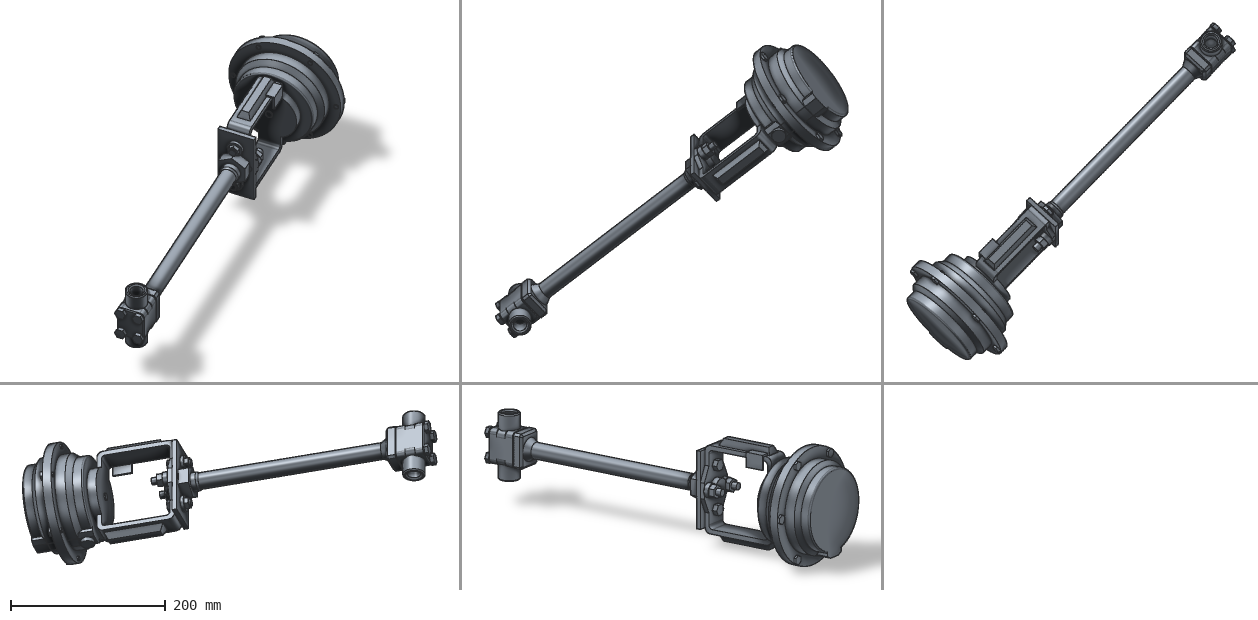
import cadquery as cq
import math

LENGTH = 538.5

HOUSING_END = 82.5
CAP_RADIUS = 56.5
CAP_ROUND = 2.0
DRUM_RADIUS = 63.0
REAR_CONE = (13.5, 19.5)
FRONT_CONE = (60.5, 68.5)
FLANGE_RADIUS = 159.0 / 2
FLANGE_REAR = 34.5
FLANGE_FRONT = 46.5
FLANGE_BOLTS = 6
FLANGE_BOLT_CIRCLE = 73.0
FLANGE_BOLT_FLATS = 11.5
FLANGE_BOLT_HEAD = 3.0
FLANGE_BOLT_SHANK = 6.5
FLANGE_BOLT_STICKOUT = 1.5
NECK_RADIUS = 39.0
NECK_BUTTON_RADIUS = 5.0
NECK_BUTTON_HEIGHT = 1.5

PAD_HALF_WIDTH = 15.5
PAD_KEEL_HALF_WIDTH = 8.5
PAD_SHOULDER = 58.5
PAD_BOTTOM = 62.5
PAD_REAR_END = 34.5
PAD_FRONT_START = 46.5
PLUG_STATION = 71.0
PLUG_RADIUS = 9.0
PLUG_BOTTOM = 68.0

BRACKET_REAR = 88.5
BRACKET_FRONT = 194.0
BRACKET_HALF_HEIGHT = 60.0
BRACKET_HALF_WIDTH = 15.5
SHEET = 6.5
BEND_RADIUS = 8.5
BEND_INNER_RADIUS = 5.5
WEB_HALF_WIDTH = 26.0
WEB_FLAT_HALF = 11.0
WEB_TAPER_END = 32.0

RIB_BASE = (96.0, 176.0)
RIB_TOP = (100.0, 171.0)
RIB_TOP_HEIGHT = 69.5
RIB_BASE_WIDTH = 19.0
RIB_TOP_WIDTH = 11.0

CLIP_STATIONS = (99.0, 125.0)
CLIP_OUTER_X = 21.0
CLIP_INNER_X = 7.5
CLIP_TOP = 62.5
CLIP_BOTTOM = 42.0
CLIP_SIDE_THICKNESS = 2.5

PLATE_WIDTH = 51.0
PLATE_HEIGHT = 105.5
PLATE_FRONT = 200.0
STUD_X = 18.0
STUD_RADIUS = 5.0
STUD_REAR = 164.0
STUD_STICKOUT = 0.5
STUD_NUT_FLATS = 16.0
STUD_NUT = (172.5, 180.5)
STUD_WASHER_RADIUS = 9.5
PLATE_BOLT_Z = 30.0
PLATE_BOLT_FLATS = 14.0
PLATE_BOLT_HEAD = 7.0
WASHER_RADIUS = 11.0
WASHER_THICKNESS = 4.5
NUT_FRONT = 209.5
PLATE_BOLT_RADIUS = 5.0
PLATE_BOLT_FRONT = 211.5

COLLAR_RADIUS = 25.5 / 2
COLLAR_REAR = 179.0
FITTING_FLATS = 38.0
FITTING_FRONT = 214.0
COLLAR_FRONT = 221.0
COLLAR_TAPER_END = 224.0
TUBE_RADIUS = 22.0 / 2
TUBE_FRONT = 471.5
TUBE_CONE_RADIUS = 18.0

VALVE_FLANGE_REAR = 481.0
VALVE_STEP = 484.0
VALVE_BODY_REAR = 493.5
VALVE_FRONT = 533.0
VALVE_WIDTH = 38.0
VALVE_HEIGHT = 48.0
VALVE_EDGE_BEVEL = 3.0
VALVE_EDGE_ROUND = 6.5
VALVE_BODY_CHAMFER = 1.5
WAIST = (507.0, 520.5)
WAIST_DEPTH = 1.0
PORT_STATION = 513.5
PORT_RADIUS = 14.5
PORT_HALF_LENGTH = 45.0
PORT_CHAMFER = 1.5
PORT_BORE_RADIUS = 8.5
PORT_BORE_LEAD_IN = 2.0
PORT_BORE_DEPTH = 21.5
VALVE_BOLT_X = 12.5
VALVE_BOLT_Z = 17.0
VALVE_BOLT_FLATS = 13.5


def facing_front(station, x=0, z=0):
    """Sketch plane at a station: local X is +X, local Y is +Z, extrusion goes to -Y."""
    return cq.Workplane("XZ", origin=(x, -station, z))


def disc(radius, start, end, x=0, z=0):
    return facing_front(start, x, z).circle(radius).extrude(end - start)


def cone(start_radius, end_radius, start, end):
    sketch = facing_front(start).circle(start_radius).workplane(offset=end - start)
    return sketch.circle(end_radius).loft(ruled=True)


def hexagon(flats, start, end, x=0, z=0, flats_on_x=False):
    """Hexagonal prism along Y, with its flats on +-Z or, if asked, on +-X."""
    across_corners = flats / math.cos(math.pi / 6)
    prism = facing_front(start).polygon(6, across_corners).extrude(end - start)
    if flats_on_x:
        prism = prism.rotate((0, 0, 0), (0, 1, 0), 30)
    return prism.translate((x, 0, z))


def block(width, height, start, end):
    return facing_front(start).rect(width, height).extrude(end - start)


def joined(solids):
    whole = solids[0]
    for solid in solids[1:]:
        whole = whole.union(solid)
    return whole


def housing():
    profile = [
        (0, 0),
        (CAP_RADIUS, 0),
        (CAP_RADIUS, -REAR_CONE[0]),
        (DRUM_RADIUS, -REAR_CONE[1]),
        (DRUM_RADIUS, -FLANGE_REAR),
        (FLANGE_RADIUS, -FLANGE_REAR),
        (FLANGE_RADIUS, -FLANGE_FRONT),
        (DRUM_RADIUS, -FLANGE_FRONT),
        (DRUM_RADIUS, -FRONT_CONE[0]),
        (CAP_RADIUS, -FRONT_CONE[1]),
        (CAP_RADIUS, -HOUSING_END),
        (0, -HOUSING_END),
    ]
    shell = cq.Workplane("XY").polyline(profile).close().revolve(360, (0, 0), (0, 1))
    shell = shell.faces("<Y or >Y").edges().fillet(CAP_ROUND)
    neck_front = BRACKET_REAR + SHEET
    neck = disc(NECK_RADIUS, HOUSING_END, neck_front)
    button = disc(NECK_BUTTON_RADIUS, neck_front, neck_front + NECK_BUTTON_HEIGHT)
    return joined([shell, neck, button])


def flange_bolts():
    bolts = []
    for i in range(FLANGE_BOLTS):
        angle = 2 * math.pi * i / FLANGE_BOLTS
        x = FLANGE_BOLT_CIRCLE * math.cos(angle)
        z = FLANGE_BOLT_CIRCLE * math.sin(angle)
        head_rear = FLANGE_REAR - FLANGE_BOLT_HEAD
        bolts.append(hexagon(FLANGE_BOLT_FLATS, head_rear, FLANGE_REAR, x, z, flats_on_x=True))
        shank_front = FLANGE_FRONT + FLANGE_BOLT_STICKOUT
        bolts.append(disc(FLANGE_BOLT_SHANK / 2, FLANGE_REAR, shank_front, x, z))
    return joined(bolts)


def pad():
    """Keel-shaped pad below the housing, ahead of and behind the flange, plus the plug."""
    outline = [
        (-PAD_HALF_WIDTH, 0),
        (-PAD_HALF_WIDTH, -PAD_SHOULDER),
        (-PAD_KEEL_HALF_WIDTH, -PAD_BOTTOM),
        (PAD_KEEL_HALF_WIDTH, -PAD_BOTTOM),
        (PAD_HALF_WIDTH, -PAD_SHOULDER),
        (PAD_HALF_WIDTH, 0),
    ]
    rear = facing_front(0).polyline(outline).close().extrude(PAD_REAR_END)
    front = facing_front(PAD_FRONT_START).polyline(outline).close().extrude(HOUSING_END - PAD_FRONT_START)
    plug = (
        cq.Workplane("XY", origin=(0, -PLUG_STATION, -PLUG_BOTTOM))
        .circle(PLUG_RADIUS)
        .extrude(PLUG_BOTTOM - CAP_RADIUS)
    )
    return joined([rear, front, plug])


def bracket():
    depth = BRACKET_FRONT - BRACKET_REAR
    height = 2 * BRACKET_HALF_HEIGHT
    middle = -(BRACKET_REAR + BRACKET_FRONT) / 2
    outer = cq.Workplane("XY").box(2 * BRACKET_HALF_WIDTH, depth, height)
    outer = outer.edges("|X").fillet(BEND_RADIUS)
    opening = cq.Workplane("XY").box(2 * BRACKET_HALF_WIDTH, depth - 2 * SHEET, height - 2 * SHEET)
    opening = opening.edges("|X").fillet(BEND_INNER_RADIUS)
    frame = outer.cut(opening).translate((0, middle, 0))
    web_outline = [
        (BRACKET_HALF_WIDTH, WEB_TAPER_END),
        (WEB_HALF_WIDTH, WEB_FLAT_HALF),
        (WEB_HALF_WIDTH, -WEB_FLAT_HALF),
        (BRACKET_HALF_WIDTH, -WEB_TAPER_END),
        (-BRACKET_HALF_WIDTH, -WEB_TAPER_END),
        (-WEB_HALF_WIDTH, -WEB_FLAT_HALF),
        (-WEB_HALF_WIDTH, WEB_FLAT_HALF),
        (-BRACKET_HALF_WIDTH, WEB_TAPER_END),
    ]
    web = facing_front(BRACKET_FRONT - SHEET).polyline(web_outline).close().extrude(SHEET)
    return frame.union(web)


def upper_rib():
    base_length = RIB_BASE[1] - RIB_BASE[0]
    top_length = RIB_TOP[1] - RIB_TOP[0]
    base_middle = -(RIB_BASE[0] + RIB_BASE[1]) / 2
    shift = base_middle + (RIB_TOP[0] + RIB_TOP[1]) / 2
    base = cq.Workplane("XY", origin=(0, base_middle, BRACKET_HALF_HEIGHT))
    base = base.rect(RIB_BASE_WIDTH, base_length)
    top = base.workplane(offset=RIB_TOP_HEIGHT - BRACKET_HALF_HEIGHT).center(0, -shift)
    return top.rect(RIB_TOP_WIDTH, top_length).loft(ruled=True)


def clip():
    """Angle over the edge of the upper arm: a thin top leaf and a hanging side leaf."""
    side_inner_x = CLIP_OUTER_X - CLIP_SIDE_THICKNESS
    outline = [
        (CLIP_INNER_X, CLIP_TOP),
        (CLIP_OUTER_X, CLIP_TOP),
        (CLIP_OUTER_X, CLIP_BOTTOM),
        (side_inner_x, CLIP_BOTTOM),
        (side_inner_x, BRACKET_HALF_HEIGHT),
        (CLIP_INNER_X, BRACKET_HALF_HEIGHT),
    ]
    length = CLIP_STATIONS[1] - CLIP_STATIONS[0]
    return facing_front(CLIP_STATIONS[0]).polyline(outline).close().extrude(length)


def mounting_plate():
    parts = [block(PLATE_WIDTH, PLATE_HEIGHT, BRACKET_FRONT, PLATE_FRONT)]
    web_rear = BRACKET_FRONT - SHEET
    for side in (-1, 1):
        x = side * STUD_X
        parts.append(disc(STUD_RADIUS, STUD_REAR, PLATE_FRONT + STUD_STICKOUT, x))
        parts.append(hexagon(STUD_NUT_FLATS, *STUD_NUT, x, flats_on_x=True))
        parts.append(disc(STUD_WASHER_RADIUS, STUD_NUT[1], web_rear, x))

        z = side * PLATE_BOLT_Z
        washer_front = PLATE_FRONT + WASHER_THICKNESS
        parts.append(hexagon(PLATE_BOLT_FLATS, web_rear - PLATE_BOLT_HEAD, web_rear, 0, z))
        parts.append(disc(WASHER_RADIUS, PLATE_FRONT, washer_front, 0, z))
        parts.append(hexagon(PLATE_BOLT_FLATS, washer_front, NUT_FRONT, 0, z, flats_on_x=True))
        parts.append(disc(PLATE_BOLT_RADIUS, NUT_FRONT, PLATE_BOLT_FRONT, 0, z))
    return joined(parts)


def fitting_and_tube():
    collar = disc(COLLAR_RADIUS, COLLAR_REAR, COLLAR_FRONT)
    nut = hexagon(FITTING_FLATS, PLATE_FRONT, FITTING_FRONT, flats_on_x=True)
    tube = disc(TUBE_RADIUS, COLLAR_FRONT, TUBE_FRONT)
    rear_taper = cone(COLLAR_RADIUS, TUBE_RADIUS, COLLAR_FRONT, COLLAR_TAPER_END)
    front_flare = cone(TUBE_RADIUS, TUBE_CONE_RADIUS, TUBE_FRONT, VALVE_STEP)
    return joined([collar, nut, tube, rear_taper, front_flare])


def valve_body():
    flange = block(VALVE_WIDTH, VALVE_HEIGHT, VALVE_FLANGE_REAR, VALVE_BODY_REAR)
    flange = flange.edges("|Y").chamfer(VALVE_EDGE_BEVEL)
    flange = flange.faces(">Y").edges().chamfer(VALVE_STEP - VALVE_FLANGE_REAR)
    body = block(VALVE_WIDTH, VALVE_HEIGHT, VALVE_BODY_REAR, VALVE_FRONT)
    body = body.edges("|Y").fillet(VALVE_EDGE_ROUND)
    body = body.faces("<Y or >Y").edges().chamfer(VALVE_BODY_CHAMFER)

    waist = block(VALVE_WIDTH, VALVE_HEIGHT, *WAIST)
    core = waist.edges("|Y").fillet(VALVE_EDGE_ROUND + WAIST_DEPTH / (math.sqrt(2) - 1))
    return flange.union(body.cut(waist.cut(core)))


def valve_ports():
    port = cq.Workplane("XY", origin=(0, -PORT_STATION, -PORT_HALF_LENGTH))
    port = port.circle(PORT_RADIUS).extrude(2 * PORT_HALF_LENGTH)
    return port.faces("<Z or >Z").edges().chamfer(PORT_CHAMFER)


def port_bores():
    """Blind bores from both ends, each with a conical lead-in at its mouth."""
    sketch = cq.Workplane("XY", origin=(0, -PORT_STATION, PORT_HALF_LENGTH - PORT_BORE_DEPTH))
    bore = sketch.circle(PORT_BORE_RADIUS).extrude(PORT_BORE_DEPTH)
    mouth = (
        cq.Workplane("XY", origin=(0, -PORT_STATION, PORT_HALF_LENGTH - PORT_BORE_LEAD_IN))
        .circle(PORT_BORE_RADIUS)
        .workplane(offset=PORT_BORE_LEAD_IN)
        .circle(PORT_BORE_RADIUS + PORT_BORE_LEAD_IN)
        .loft(ruled=True)
    )
    upper = bore.union(mouth)
    return upper.union(upper.mirror("XY"))


def valve_bolts():
    bolts = []
    for x in (-VALVE_BOLT_X, VALVE_BOLT_X):
        for z in (-VALVE_BOLT_Z, VALVE_BOLT_Z):
            bolts.append(hexagon(VALVE_BOLT_FLATS, VALVE_FRONT, LENGTH, x, z))
    return joined(bolts)


rib = upper_rib()
result = joined([
    housing(),
    flange_bolts(),
    pad(),
    bracket(),
    rib,
    rib.mirror("XY"),
    clip(),
    mounting_plate(),
    fitting_and_tube(),
    valve_body(),
    valve_ports(),
    valve_bolts(),
])
result = result.cut(port_bores())